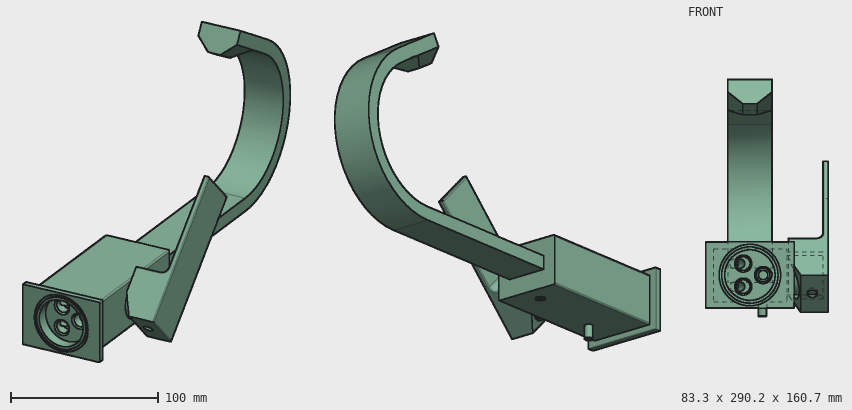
import cadquery as cq
import math


TOTAL_LENGTH = 290.2
TOTAL_WIDTH = 83.3

FLANGE_WIDTH = 60.0
FLANGE_HEIGHT = 45.0
FLANGE_THICKNESS = 5.0
FLANGE_ROUND = 0.5
BODY_WIDTH = 50.0
BODY_HEIGHT = 36.0
BODY_END_Y = 105.3
BODY_ROUND = 1.2

SPOUT_WIDTH = 30.2
SPOUT_THICKNESS = 10.0
SPOUT_BEND_RADIUS = 62.0
SPOUT_TIP_LENGTH = 43.8
SPOUT_TIP_ANGLE = 30.0

NOSE_DEPTH = 9.3
NOSE_TOP_LENGTH = 25.0
NOSE_BOTTOM_LENGTH = 15.0
NOSE_BOTTOM_WIDTH = 10.0

LEVER_PIVOT_Y = 57.7
LEVER_ANGLE = 45.0
LEVER_OUTER_X = TOTAL_WIDTH - FLANGE_WIDTH / 2
LEVER_BLOCK_SIZE = 35.7
LEVER_LENGTH = 109.5
LEVER_GAP = 1.2
PLATE_THICKNESS = 3.8
PLATE_FILLET = 5.0
LEVER_EDGE_ROUND = 0.73
BEVEL_LENGTH = 16.3
BEVEL_DEPTH = 8.5
LEVER_BORE_RADIUS = 16.0
STEM_RADIUS = 13.3
STEM_OVERLAP = 1.2
SCREW_HOLE_DIAMETER = 7.0
SCREW_HOLE_X = 42.5

SEAL_GROOVE_OUTER_RADIUS = 21.0
SEAL_GROOVE_INNER_RADIUS = 19.2
SEAL_GROOVE_DEPTH = 1.5
RECESS_RADIUS = 17.0
RECESS_DEPTH = 9.0
PORT_CIRCLE_RADIUS = 9.0
PORT_COUNT = 3
PORT_MOUTH_RADIUS = 5.8
PORT_RADIUS = 4.5
PORT_DEPTH = 8.7
PORT_CHAMFER = PORT_MOUTH_RADIUS - PORT_RADIUS
PASSAGE_RADIUS = 3.2
PASSAGE_DEPTH = 11.5
PASSAGE_OVERLAP = 2.3
PASSAGE_OFFSET = 1.5
PASSAGE_TILT = 25.0

PIN_X = 8.5
PIN_Y = 30.0
PIN_DIAMETER = 5.8
PIN_BOTTOM_Z = -28.1
PIN_CHAMFER = 0.5
SCREW_Y = 90.8
SCREW_STEPS = ((6.7, 0.5), (2.3, 1.5))


def y_cylinder(radius, start_y, length, x=0.0, z=0.0):
    return cq.Workplane(cq.Plane((x, start_y, z), (1, 0, 0), (0, 1, 0))).circle(radius).extrude(length)


def x_cylinder(radius, start_x, end_x, y, z):
    return cq.Workplane("YZ", origin=(start_x, y, z)).circle(radius).extrude(end_x - start_x)


def z_cylinder(diameter, x, y, bottom_z, top_z):
    return cq.Workplane("XY", origin=(x, y, bottom_z)).circle(diameter / 2).extrude(top_z - bottom_z)


def make_body():
    flange = (
        cq.Workplane("XY")
        .box(FLANGE_WIDTH, FLANGE_THICKNESS, FLANGE_HEIGHT, centered=(True, False, True))
        .edges("|Y or >Y")
        .fillet(FLANGE_ROUND)
    )
    body = (
        cq.Workplane("XY")
        .box(BODY_WIDTH, BODY_END_Y, BODY_HEIGHT, centered=(True, False, True))
        .edges("|Y")
        .fillet(BODY_ROUND)
    )
    return flange.union(body)


def make_spout():
    half = SPOUT_THICKNESS / 2
    inner_radius = SPOUT_BEND_RADIUS - SPOUT_THICKNESS
    bend_y = TOTAL_LENGTH - SPOUT_BEND_RADIUS
    bend_z = SPOUT_BEND_RADIUS - half
    bend_end = 90 - SPOUT_TIP_ANGLE
    bend_middle = (bend_end - 90) / 2
    tip = math.radians(SPOUT_TIP_ANGLE)
    along = (-math.cos(tip), math.sin(tip))

    def bend_point(radius, degrees):
        angle = math.radians(degrees)
        return bend_y + radius * math.cos(angle), bend_z + radius * math.sin(angle)

    def tip_point(radius):
        y, z = bend_point(radius, bend_end)
        return y + SPOUT_TIP_LENGTH * along[0], z + SPOUT_TIP_LENGTH * along[1]

    bar = (
        cq.Workplane("YZ", origin=(-SPOUT_WIDTH / 2, 0, 0))
        .moveTo(BODY_END_Y, -half)
        .lineTo(bend_y, -half)
        .threePointArc(bend_point(SPOUT_BEND_RADIUS, bend_middle), bend_point(SPOUT_BEND_RADIUS, bend_end))
        .lineTo(*tip_point(SPOUT_BEND_RADIUS))
        .lineTo(*tip_point(inner_radius))
        .lineTo(*bend_point(inner_radius, bend_end))
        .threePointArc(bend_point(inner_radius, bend_middle), (bend_y, half))
        .lineTo(BODY_END_Y, half)
        .close()
        .extrude(SPOUT_WIDTH)
    )
    return bar.union(make_nose(tip_point(inner_radius), along))


def make_nose(corner, along):
    """Trapezoid nose hanging from the inner face of the spout, flush with the tip end."""
    origin = (0, corner[0], corner[1])
    side_plane = cq.Plane(origin, (0, -along[0], -along[1]), (1, 0, 0))
    side = (
        cq.Workplane(side_plane)
        .polyline([(0, 0), (NOSE_TOP_LENGTH, 0), (NOSE_BOTTOM_LENGTH, -NOSE_DEPTH), (0, -NOSE_DEPTH)])
        .close()
        .extrude(SPOUT_WIDTH / 2, both=True)
    )
    end_plane = cq.Plane(origin, (1, 0, 0), (0, -along[0], -along[1]))
    half_top = SPOUT_WIDTH / 2
    half_bottom = NOSE_BOTTOM_WIDTH / 2
    end = (
        cq.Workplane(end_plane)
        .polyline([(-half_top, 0), (half_top, 0), (half_bottom, NOSE_DEPTH), (-half_bottom, NOSE_DEPTH)])
        .close()
        .extrude(NOSE_TOP_LENGTH)
    )
    return side.intersect(end)


def make_lever():
    half = LEVER_BLOCK_SIZE / 2
    inner_x = BODY_WIDTH / 2 + LEVER_GAP
    plate_x = LEVER_OUTER_X - PLATE_THICKNESS
    plate_end = LEVER_LENGTH - half

    lever = (
        cq.Workplane("XY", origin=(0, 0, -half))
        .polyline([
            (inner_x, half),
            (inner_x, BEVEL_LENGTH - half),
            (inner_x + BEVEL_DEPTH, -half),
            (LEVER_OUTER_X, -half),
            (LEVER_OUTER_X, plate_end),
            (plate_x, plate_end),
            (plate_x, half),
        ])
        .close()
        .extrude(LEVER_BLOCK_SIZE)
    )
    lever = lever.edges(cq.NearestToPointSelector((plate_x, half, 0))).fillet(PLATE_FILLET)
    plate_middle = plate_end / 2 + half / 2
    plate_rim = cq.NearestToPointSelector((plate_x, plate_end, 0))
    for side_z in (-half, half):
        plate_rim = plate_rim + cq.NearestToPointSelector((plate_x, plate_middle, side_z))
    lever = lever.edges(plate_rim).fillet(LEVER_EDGE_ROUND)
    lever = lever.faces(">X").edges().fillet(LEVER_EDGE_ROUND)
    lever = lever.cut(x_cylinder(LEVER_BORE_RADIUS, inner_x, plate_x, 0, 0))
    lever = lever.cut(y_cylinder(SCREW_HOLE_DIAMETER / 2, -half, half, x=SCREW_HOLE_X))
    stem = x_cylinder(STEM_RADIUS, BODY_WIDTH / 2 - STEM_OVERLAP, plate_x + STEM_OVERLAP, 0, 0)
    lever = lever.union(stem)
    return lever.rotate((0, 0, 0), (1, 0, 0), LEVER_ANGLE).translate((0, LEVER_PIVOT_Y, 0))


def cut_inlets(part):
    groove = y_cylinder(SEAL_GROOVE_OUTER_RADIUS, 0, SEAL_GROOVE_DEPTH).cut(
        y_cylinder(SEAL_GROOVE_INNER_RADIUS, 0, SEAL_GROOVE_DEPTH)
    )
    part = part.cut(groove).cut(y_cylinder(RECESS_RADIUS, 0, RECESS_DEPTH))
    passage_y = RECESS_DEPTH + PORT_DEPTH - PASSAGE_OVERLAP
    for index in range(PORT_COUNT):
        angle = 2 * math.pi * index / PORT_COUNT
        x = PORT_CIRCLE_RADIUS * math.cos(angle)
        z = PORT_CIRCLE_RADIUS * math.sin(angle)
        mouth = y_cylinder(PORT_MOUTH_RADIUS, RECESS_DEPTH - PORT_CHAMFER, 2 * PORT_CHAMFER, x, z)
        mouth = mouth.faces(">Y").edges().chamfer(PORT_CHAMFER)
        port = y_cylinder(PORT_RADIUS, RECESS_DEPTH, PORT_DEPTH, x, z)
        passage = y_cylinder(PASSAGE_RADIUS, passage_y, PASSAGE_DEPTH, x, z)
        if index > 0:
            passage = passage.rotate((x, passage_y, z), (x, passage_y, z + 3), PASSAGE_TILT)
            passage = passage.translate((-PASSAGE_OFFSET, 0, 0))
        part = part.cut(mouth).cut(port).cut(passage)
    return part


def make_underside():
    root_z = -BODY_HEIGHT / 2 + BODY_ROUND
    pin = z_cylinder(PIN_DIAMETER, PIN_X, PIN_Y, PIN_BOTTOM_Z, root_z)
    parts = pin.faces("<Z").edges().chamfer(PIN_CHAMFER)
    for diameter, drop in SCREW_STEPS:
        bottom_z = -BODY_HEIGHT / 2 - drop
        parts = parts.union(z_cylinder(diameter, 0, SCREW_Y, bottom_z, root_z))
    return parts


result = cut_inlets(make_body()).union(make_spout()).union(make_underside()).union(make_lever())